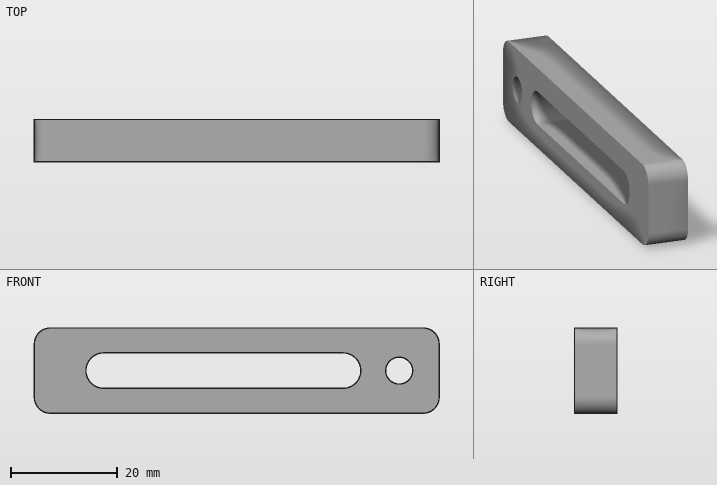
import cadquery as cq

length = 76.0
thickness = 8.0
height = 16.0
corner_radius = 3.05

slot_length = 51.5
slot_width = 6.6
slot_center_x = -2.5
hole_diameter = 5.0
hole_center_x = 30.5


def rounded_plate():
    plate = cq.Workplane("XY").box(length, thickness, height)
    return plate.edges("|Y").fillet(corner_radius)


def cut_slot(body):
    return (
        body.faces("<Y").workplane(origin=(0, 0, 0))
        .center(slot_center_x, 0)
        .slot2D(slot_length, slot_width)
        .cutThruAll()
    )


def cut_hole(body):
    return (
        body.faces("<Y").workplane(origin=(0, 0, 0))
        .center(hole_center_x, 0)
        .hole(hole_diameter)
    )


result = cut_hole(cut_slot(rounded_plate()))